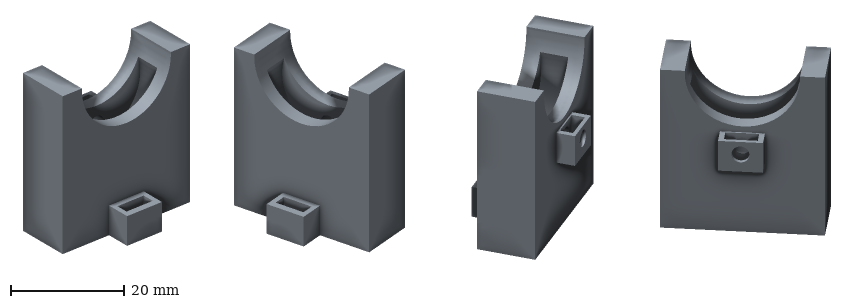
import cadquery as cq

block_x = 10.98
block_y = 29.3
block_z = 32.0

saddle_radius = 10.25
saddle_axis_z = 31.55

groove_start_x = 2.8
groove_width = 5.28
groove_diameter = 20.0
groove_axis_z = 24.75

lug_y = 8.0
lug_z = 6.0
slot_y = 6.0
left_lug_x = 3.52
left_lug_bottom = 14.1
pocket_x = 2.5
pocket_front_wall = 0.75
pocket_floor = 0.5
right_lug_x = 5.0
right_slot_x = 2.5
right_slot_offset = 1.15

hole_diameter = 3.2
hole_z = 17.6


def box(x, z, length, width, height):
    """Box starting at x and z, centred on Y."""
    return cq.Workplane("XY").box(length, width, height, centered=(False, True, False)).translate((x, 0, z))


body = box(0, 0, block_x, block_y, block_z)
body = body.union(box(-left_lug_x, left_lug_bottom, left_lug_x, lug_y, lug_z))
body = body.union(box(block_x, 0, right_lug_x, lug_y, lug_z))

saddle = (
    cq.Workplane("YZ")
    .moveTo(-saddle_radius, block_z)
    .lineTo(-saddle_radius, saddle_axis_z)
    .threePointArc((0, saddle_axis_z - saddle_radius), (saddle_radius, saddle_axis_z))
    .lineTo(saddle_radius, block_z)
    .close()
    .extrude(block_x)
)
groove = (
    cq.Workplane("YZ", origin=(groove_start_x, 0, groove_axis_z))
    .circle(groove_diameter / 2)
    .extrude(groove_width)
)

pocket = box(
    pocket_front_wall - left_lug_x,
    left_lug_bottom + pocket_floor,
    pocket_x,
    slot_y,
    lug_z - pocket_floor,
)
right_slot = box(block_x + right_slot_offset, 0, right_slot_x, slot_y, lug_z)

hole = (
    cq.Workplane("YZ", origin=(-left_lug_x, 0, hole_z))
    .circle(hole_diameter / 2)
    .extrude(left_lug_x + groove_start_x + groove_width / 2)
)

result = body.cut(saddle).cut(groove).cut(pocket).cut(right_slot).cut(hole)